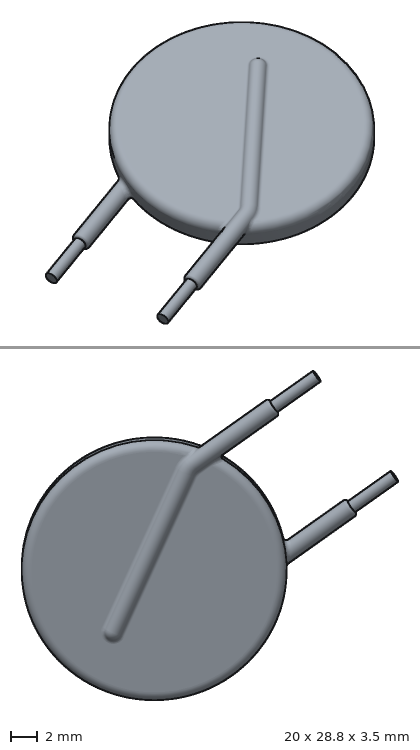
import cadquery as cq
import math

disc_diameter = 20.0
disc_thickness = 2.5
disc_edge_radius = 0.75

overall_length = 28.75
overall_height = 3.5
wire_radius = 0.75
core_radius = 0.503
lead_spacing = 10.0
bare_length = 4.0
insulation_edge_radius = 0.23
bend_start_y = -7.2
bend_angle = 30.0
bend_radius = 1.5
diagonal_length = 13.45
coating_fillet = 0.35

lead_x = lead_spacing / 2
wire_z = overall_height / 2 - wire_radius
lead_end_y = disc_diameter / 2 - overall_length
insulation_end_y = lead_end_y + bare_length


def along_y(radius, start_y, length):
    """Round bar on the upper lead axis, running from start_y toward -Y."""
    plane = cq.Plane(origin=(lead_x, start_y, wire_z), xDir=(1, 0, 0), normal=(0, -1, 0))
    return cq.Workplane(plane).circle(radius).extrude(length)


def make_disc():
    bottom = cq.Workplane("XY", origin=(0, 0, -disc_thickness / 2))
    disc = bottom.circle(disc_diameter / 2).extrude(disc_thickness)
    return disc.edges("%CIRCLE").fillet(disc_edge_radius)


def make_upper_wire():
    """Straight lead, bend, and diagonal run ending in a rounded tip."""
    angle = math.radians(bend_angle)
    bend_center_x = lead_x - bend_radius
    bend_end = (
        bend_center_x + bend_radius * math.cos(angle),
        bend_start_y + bend_radius * math.sin(angle),
    )
    bend_middle = (
        bend_center_x + bend_radius * math.cos(angle / 2),
        bend_start_y + bend_radius * math.sin(angle / 2),
    )
    tip = (
        bend_end[0] - diagonal_length * math.sin(angle),
        bend_end[1] + diagonal_length * math.cos(angle),
    )
    path = (
        cq.Workplane("XY", origin=(0, 0, wire_z))
        .moveTo(lead_x, insulation_end_y)
        .lineTo(lead_x, bend_start_y)
        .threePointArc(bend_middle, bend_end)
        .lineTo(*tip)
    )
    profile_plane = cq.Plane(
        origin=(lead_x, insulation_end_y, wire_z), xDir=(1, 0, 0), normal=(0, 1, 0)
    )
    wire = cq.Workplane(profile_plane).circle(wire_radius).sweep(path)
    wire = wire.faces("<Y").edges().fillet(insulation_edge_radius)
    round_tip = cq.Workplane("XY", origin=(*tip, wire_z)).sphere(wire_radius)
    return wire.union(round_tip)


def touches_disc_and_wire(edge, disc, wire):
    """True for an edge lying on the surfaces of both the disc and the wire."""
    point = cq.Vertex.makeVertex(*edge.positionAt(0.5).toTuple())
    tolerance = 0.003
    return all(
        min(face.distance(point) for face in body.faces().vals()) < tolerance
        for body in (disc, wire)
    )


def turned_over(body):
    return body.rotate((0, 0, 0), (0, 1, 0), 180)


disc = make_disc()
upper_wire = make_upper_wire()
wires = upper_wire.union(turned_over(upper_wire))
body = disc.union(wires)

contact_edges = [e for e in body.edges().vals() if touches_disc_and_wire(e, disc, wires)]
body = body.newObject(contact_edges).fillet(coating_fillet)

core = along_y(core_radius, insulation_end_y, bare_length)
result = body.union(core).union(turned_over(core))